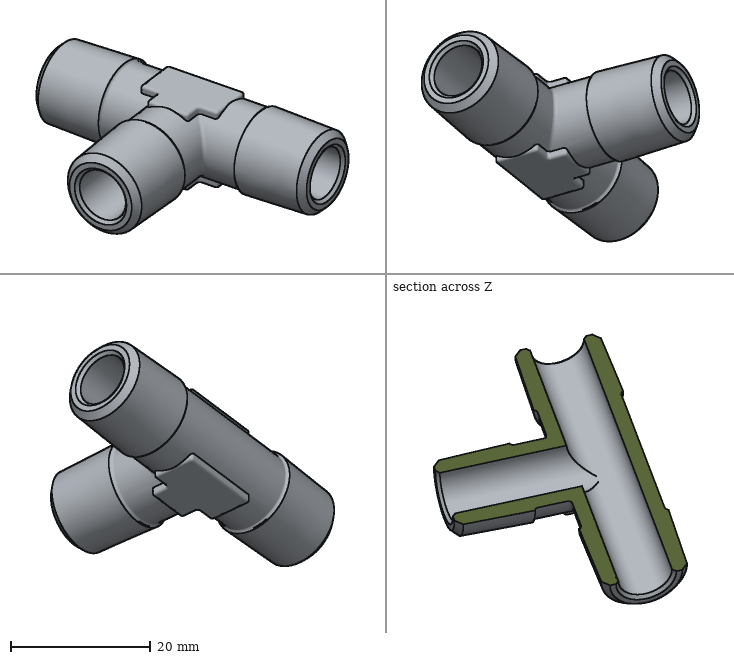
import cadquery as cq
import math

reach = 23.5
neck_radius = 6.3
taper_start = 11.8
taper_start_radius = 6.7
taper_end_radius = 6.45
mouth_chamfer = 1.05
bore_radius = 4.0
bore_chamfer = 0.5
collar_angle = 60.0
inner_fillet = 0.5

pad_height = 6.45
pad_half_length = 6.7
pad_half_width = 3.52
pad_stem_reach = 6.5
pad_round = 0.45

RIGHT = cq.Vector(1, 0, 0)
LEFT = cq.Vector(-1, 0, 0)
FORWARD = cq.Vector(0, -1, 0)
DIRECTIONS = (RIGHT, LEFT, FORWARD)


def axial_sketch(direction):
    """Workplane whose x is distance from the crossing point and y is radius."""
    return cq.Workplane(cq.Plane(origin=(0, 0, 0), xDir=direction, normal=(0, 0, 1)))


def revolve_about_axis(sketch):
    return sketch.close().revolve(360, (0, 0, 0), (1, 0, 0))


def tube(direction, length):
    """Plain tube of the given length that ends where the taper along a direction starts."""
    start = direction * (taper_start - length)
    return cq.Workplane(cq.Solid.makeCylinder(neck_radius, length, start, direction))


def pad():
    """T-shaped block from the mid-plane up to the pad face, with rounded edges."""
    block = (
        cq.Workplane("XY")
        .polyline([
            (-pad_half_length, pad_half_width),
            (pad_half_length, pad_half_width),
            (pad_half_length, -pad_half_width),
            (pad_half_width, -pad_half_width),
            (pad_half_width, -pad_stem_reach),
            (-pad_half_width, -pad_stem_reach),
            (-pad_half_width, -pad_half_width),
            (-pad_half_length, -pad_half_width),
        ])
        .close()
        .extrude(pad_height)
    )
    return block.edges("|Z or >Z").fillet(pad_round)


def round_junctions(body):
    """Fillet the two inner corners where the branch tube meets the run."""
    inner = pad_half_width
    outer = pad_half_length
    for left, right in ((-outer, -inner), (inner, outer)):
        corner = cq.selectors.BoxSelector((left, -outer, -inner), (right, -inner, inner))
        body = body.edges(corner).fillet(inner_fillet)
    return body


def tapered_end(direction):
    """Sloped collar face with a filleted foot, then the taper and the mouth chamfer."""
    slope = math.radians(collar_angle)
    foot_run = inner_fillet * math.sin(slope)
    foot_top = neck_radius + inner_fillet * (1 - math.cos(slope))
    foot_end = taper_start - (taper_start_radius - foot_top) / math.tan(slope)
    foot_start = foot_end - foot_run
    return revolve_about_axis(
        axial_sketch(direction)
        .moveTo(foot_start, 0)
        .lineTo(foot_start, neck_radius)
        .radiusArc((foot_end, foot_top), -inner_fillet)
        .lineTo(taper_start, taper_start_radius)
        .lineTo(reach - mouth_chamfer, taper_end_radius)
        .lineTo(reach, taper_end_radius - mouth_chamfer)
        .lineTo(reach, 0)
    )


def bore(direction):
    """Passage from the crossing point to the end face, with a chamfered mouth."""
    return revolve_about_axis(
        axial_sketch(direction)
        .lineTo(0, bore_radius)
        .lineTo(reach - bore_chamfer, bore_radius)
        .lineTo(reach, bore_radius + bore_chamfer)
        .lineTo(reach, 0)
    )


run = tube(LEFT, 2 * taper_start)
branch = tube(FORWARD, taper_start)
result = run.union(branch)

upper_pad = pad()
result = result.union(upper_pad).union(upper_pad.mirror("XY"))
result = round_junctions(result)

for direction in DIRECTIONS:
    result = result.union(tapered_end(direction))
for direction in DIRECTIONS:
    result = result.cut(bore(direction))